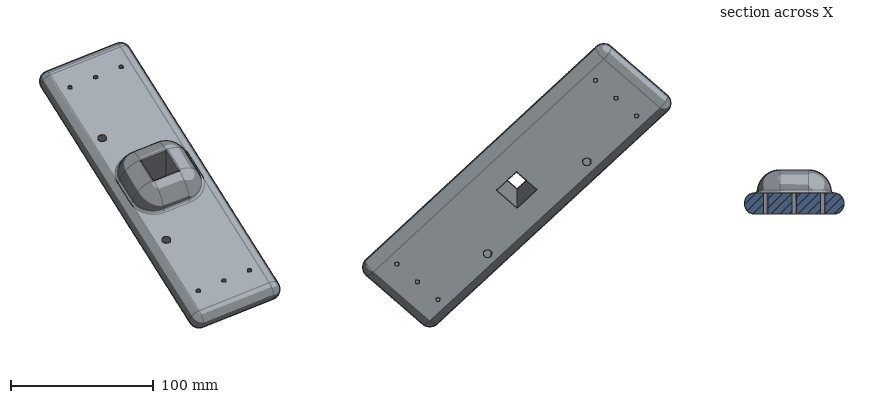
import cadquery as cq
import math

plate_length = 247.0
plate_width = 70.0
plate_thickness = 15.0
rim_radius = plate_thickness / 2
plate_core_x = plate_length - 2 * rim_radius
plate_core_y = plate_width - 2 * rim_radius

boss_core = 20.0
boss_radius = 16.0
boss_fillet = 2.0
boss_root = 1.0
boss_bottom = plate_thickness - boss_root
boss_top = plate_thickness + boss_radius

opening_side = boss_core
opening_fillet = 1.0

screw_diameter = 3.0
screw_x = 100.0
screw_pitch_y = 20.0
cable_diameter = 6.0
cable_x = 50.0
cable_y = -20.0


def plate_rim_section(plane, inset):
    """Half disc that rounds the plate rim; inset is the distance from the middle to its flat side."""
    return (
        cq.Workplane(plane)
        .moveTo(inset, 0)
        .threePointArc((inset + rim_radius, rim_radius), (inset, plate_thickness))
        .close()
    )


def boss_section(plane, inset):
    """Convex quarter round running into a concave foot fillet; inset places its straight side."""
    base_z = plate_thickness
    center_distance = boss_radius + boss_fillet
    foot_reach = math.sqrt(center_distance**2 - boss_fillet**2)
    tangent_angle = math.asin(boss_fillet / center_distance)
    middle_angle = (tangent_angle + math.pi / 2) / 2

    def on_crown(angle):
        return (inset + boss_radius * math.cos(angle), base_z + boss_radius * math.sin(angle))

    foot_middle = (
        inset + foot_reach - boss_fillet * math.cos(middle_angle),
        base_z + boss_fillet - boss_fillet * math.sin(middle_angle),
    )
    return (
        cq.Workplane(plane)
        .moveTo(inset, boss_bottom)
        .lineTo(inset, boss_top)
        .threePointArc(on_crown(middle_angle), on_crown(tangent_angle))
        .threePointArc(foot_middle, (inset + foot_reach, base_z))
        .lineTo(inset + boss_radius, boss_bottom)
        .close()
    )


def opening_flare_section(plane, inset):
    """Space above a small round that leads from the boss crown down into the opening wall."""
    center_distance = boss_radius - opening_fillet
    center_rise = math.sqrt(center_distance**2 - opening_fillet**2)
    fillet_center_z = plate_thickness + center_rise
    tangent_angle = math.atan2(center_rise, opening_fillet)
    middle_angle = (tangent_angle + math.pi) / 2

    def on_fillet(angle):
        return (
            inset + opening_fillet + opening_fillet * math.cos(angle),
            fillet_center_z + opening_fillet * math.sin(angle),
        )

    crown_point = on_fillet(tangent_angle)
    return (
        cq.Workplane(plane)
        .moveTo(inset, fillet_center_z)
        .threePointArc(on_fillet(middle_angle), crown_point)
        .lineTo(crown_point[0], boss_top)
        .lineTo(inset, boss_top)
        .close()
    )


def rounded_block(section, core_x, core_y, bottom, top):
    """Rectangular core with the section run along its four sides and turned about its corners."""
    body = cq.Workplane("XY", origin=(0, 0, bottom)).rect(core_x, core_y).extrude(top - bottom)
    side_at_x = section("XZ", core_x / 2).extrude(core_y / 2, both=True)
    side_at_y = section("YZ", core_y / 2).extrude(core_x / 2, both=True)
    body = body.union(side_at_x).union(side_at_x.mirror("YZ"))
    body = body.union(side_at_y).union(side_at_y.mirror("XZ"))
    corner = section("XZ", 0).revolve(360, (0, 0), (0, 1))
    for side_x in (-1, 1):
        for side_y in (-1, 1):
            body = body.union(corner.translate((side_x * core_x / 2, side_y * core_y / 2, 0)))
    return body


def cut_through_holes(body, points, diameter):
    """Drill round holes through the whole plate thickness."""
    drills = cq.Workplane("XY").pushPoints(points).circle(diameter / 2).extrude(plate_thickness)
    return body.cut(drills)


screw_points = [(side * screw_x, row * screw_pitch_y) for side in (-1, 1) for row in (-1, 0, 1)]
cable_points = [(side * cable_x, cable_y) for side in (-1, 1)]

plate = rounded_block(plate_rim_section, plate_core_x, plate_core_y, 0, plate_thickness)
boss = rounded_block(boss_section, boss_core, boss_core, boss_bottom, boss_top)
opening = rounded_block(opening_flare_section, opening_side, opening_side, 0, boss_top)
result = plate.union(boss).cut(opening)
result = cut_through_holes(result, screw_points, screw_diameter)
result = cut_through_holes(result, cable_points, cable_diameter)